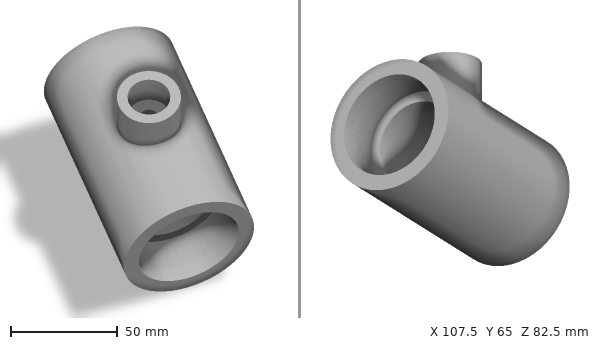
import cadquery as cq

body_length = 107.5
body_diameter = 65.0
socket_diameter = 50.0
socket_depth = 24.0
bore_diameter = 40.0

branch_top = 50.0
branch_diameter = 30.0
branch_socket_diameter = 20.0
branch_socket_depth = 16.0
branch_hole_diameter = 8.4


def cylinder_along_x(diameter, x_start, length):
    return cq.Workplane("YZ", origin=(x_start, 0, 0)).circle(diameter / 2).extrude(length)


def branch_cylinder(diameter, depth):
    """Vertical cylinder reaching down from the branch top by the given depth."""
    return cq.Workplane("XY", origin=(0, 0, branch_top)).circle(diameter / 2).extrude(-depth)


body_start = -body_length / 2
body = cylinder_along_x(body_diameter, body_start, body_length)
body = body.union(branch_cylinder(branch_diameter, branch_top))

body = body.cut(cylinder_along_x(bore_diameter, body_start, body_length))
for socket_start in (body_start, body_length / 2 - socket_depth):
    body = body.cut(cylinder_along_x(socket_diameter, socket_start, socket_depth))

body = body.cut(branch_cylinder(branch_socket_diameter, branch_socket_depth))
result = body.cut(branch_cylinder(branch_hole_diameter, branch_top))